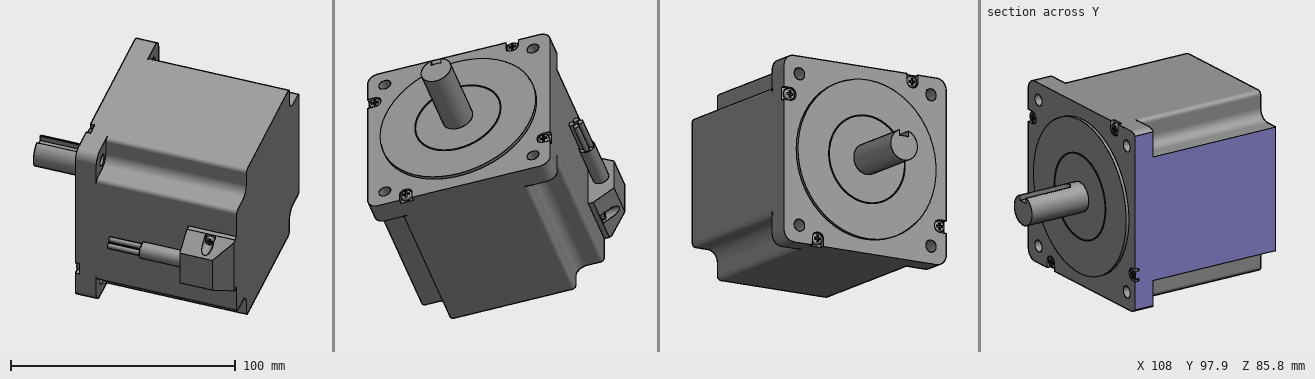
import cadquery as cq
import math


body_side = 85.8
half_side = body_side / 2
body_length = 75.9
flange_thickness = 9.8
flange_corner_radius = 5.1
bolt_offset = 34.8
bolt_hole_diameter = 5.5
corner_notch = 13.3
notch_edge_radius = 2.0

pilot_diameter = 73.0
pilot_height = 1.5
groove_outer_diameter = 40.4
groove_width = 0.3
groove_depth = 0.2
shaft_diameter = 14.0
shaft_reach = 32.1
keyway_width = 4.6
keyway_length = 25.2
keyway_floor = 4.1

flange_screw_offset = 25.0
flange_screw_inset = 3.3
flange_pocket_width = 5.8
flange_pocket_depth = 1.9
flange_head_diameter = 5.2
flange_head_height = 1.7

box_length = 22.6
box_height = 12.1
box_width = 29.8
box_top_width = 17.5
box_base_height = 2.4
box_bevel_length = 7.2
box_bevel_height = 8.5
box_screw_rear_inset = 11.3
box_screw_z = 11.9
box_pocket_width = 4.6
box_head_diameter = 4.3
box_head_height = 1.5

cable_diameter = 7.5
cable_length = 20.0
cable_height = 5.9
wire_length = 15.1
wire_diameter = 2.5
wire_offset = 2.0
wire_count = 4

recess_span_ratio = 0.6
recess_width_ratio = 0.16
recess_depth_ratio = 0.5
head_rounding_ratio = 0.3


def rod(diameter, x_start, x_end, y=0, z=0):
    """Cylinder along X."""
    return (
        cq.Workplane("YZ", origin=(x_start, y, z))
        .circle(diameter / 2)
        .extrude(x_end - x_start)
    )


def pan_head(diameter, height):
    """Rounded screw head with a cross recess, standing on XY and facing +Z."""
    head = cq.Workplane("XY").circle(diameter / 2).extrude(height)
    head = head.faces(">Z").edges().fillet(head_rounding_ratio * height)
    span = recess_span_ratio * diameter
    width = recess_width_ratio * diameter
    recess_floor = height * (1 - recess_depth_ratio)
    bar = cq.Workplane("XY", origin=(0, 0, recess_floor)).rect(span, width).extrude(height)
    cross = bar.union(bar.rotate((0, 0, 0), (0, 0, 1), 90))
    return head.cut(cross)


def open_pocket(width, inset, depth):
    """Slot tool on XY, rounded about the origin and open past Y = inset."""
    slot = cq.Workplane("XY").circle(width / 2).extrude(depth)
    channel = cq.Workplane("XY").rect(width, inset).extrude(depth).translate((0, inset / 2, 0))
    return slot.union(channel)


def make_housing():
    """Flange plus a body with four notched, rounded corners."""
    flange = cq.Workplane("YZ").rect(body_side, body_side).extrude(flange_thickness)
    flange = flange.edges("|X").fillet(flange_corner_radius)

    body = (
        cq.Workplane("YZ", origin=(flange_thickness, 0, 0))
        .rect(body_side, body_side)
        .extrude(body_length - flange_thickness)
    )
    notches = (
        cq.Workplane("YZ", origin=(flange_thickness, 0, 0))
        .rect(body_side, body_side, forConstruction=True)
        .vertices()
        .rect(2 * corner_notch, 2 * corner_notch)
        .extrude(body_length - flange_thickness)
    )
    body = body.cut(notches)

    inner = half_side - corner_notch
    notch_root_radius = bolt_offset - inner
    root_reach = inner + notch_edge_radius
    roots = cq.selectors.BoxSelector(
        (0, -root_reach, -root_reach), (body_length, root_reach, root_reach)
    )
    outer_edges = body.edges("|X").edges(cq.selectors.InverseSelector(roots))
    body = outer_edges.fillet(notch_edge_radius)
    body = body.edges("|X").edges(roots).fillet(notch_root_radius)

    bolt_holes = (
        cq.Workplane("YZ")
        .rect(2 * bolt_offset, 2 * bolt_offset, forConstruction=True)
        .vertices()
        .circle(bolt_hole_diameter / 2)
        .extrude(flange_thickness)
    )
    return flange.union(body).cut(bolt_holes)


def add_flange_screws(motor):
    """One sunk screw in each flange side, repeated every quarter turn."""
    pocket = open_pocket(flange_pocket_width, flange_screw_inset, flange_pocket_depth)
    pocket = pocket.rotate((0, 0, 0), (0, 0, 1), 180)
    head = pan_head(flange_head_diameter, flange_head_height)
    screw_plane = cq.Plane(
        origin=(flange_pocket_depth, -flange_screw_offset, half_side - flange_screw_inset),
        xDir=(0, 1, 0),
        normal=(-1, 0, 0),
    )
    seat = cq.Location(screw_plane)
    placed_pocket = cq.Workplane(pocket.val().located(seat))
    placed_head = cq.Workplane(head.val().located(seat))
    for quarter in range(4):
        turn = 90 * quarter
        motor = motor.cut(placed_pocket.rotate((0, 0, 0), (1, 0, 0), turn))
        motor = motor.union(placed_head.rotate((0, 0, 0), (1, 0, 0), turn))
    return motor


def make_shaft_end():
    """Pilot with a ring groove, and the shaft with its open keyway."""
    pilot = rod(pilot_diameter, -pilot_height, 0)
    groove_floor = groove_depth - pilot_height
    groove_inner_diameter = groove_outer_diameter - 2 * groove_width
    groove = rod(groove_outer_diameter, -pilot_height, groove_floor)
    groove = groove.cut(rod(groove_inner_diameter, -pilot_height, groove_floor))
    shaft = rod(shaft_diameter, -shaft_reach, 0)

    keyway_straight = keyway_length - keyway_width / 2
    keyway = (
        open_pocket(keyway_width, keyway_straight, shaft_diameter)
        .rotate((0, 0, 0), (0, 0, 1), 90)
        .translate((keyway_straight - shaft_reach, 0, keyway_floor))
    )
    return pilot.cut(groove).union(shaft.cut(keyway))


def make_cable_box():
    """Bevelled box with two screws sunk into its sloping sides."""
    box_start = body_length - box_length
    half_width = box_width / 2
    half_top = box_top_width / 2
    box = (
        cq.Workplane("YZ", origin=(box_start, -half_side, 0))
        .polyline([
            (0, -half_width),
            (-box_base_height, -half_width),
            (-box_height, -half_top),
            (-box_height, half_top),
            (-box_base_height, half_width),
            (0, half_width),
        ])
        .close()
        .extrude(box_length)
    )
    box_face = -half_side - box_height
    rear_bevel = (
        cq.Workplane("XY", origin=(0, 0, -half_width))
        .polyline([
            (body_length - box_bevel_length, box_face),
            (body_length, box_face),
            (body_length, box_face + box_bevel_height),
        ])
        .close()
        .extrude(box_width)
    )
    box = box.cut(rear_bevel)

    pocket = open_pocket(box_pocket_width, half_width - box_screw_z, box_height)
    head = pan_head(box_head_diameter, box_head_height)
    screw_x = body_length - box_screw_rear_inset
    floor_y = -half_side - box_base_height
    for side in (1, -1):
        screw_plane = cq.Plane(
            origin=(screw_x, floor_y, side * box_screw_z),
            xDir=(side, 0, 0),
            normal=(0, -1, 0),
        )
        seat = cq.Location(screw_plane)
        box = box.cut(cq.Workplane(pocket.val().located(seat)))
        box = box.union(cq.Workplane(head.val().located(seat)))
    return box


def make_cable():
    """Round cable leaving the box toward -X, ending in bare wires."""
    box_start = body_length - box_length
    cable_start = box_start - cable_length
    cable_y = -half_side - cable_height
    cable = rod(cable_diameter, cable_start, box_start, cable_y)
    for index in range(wire_count):
        angle = 2 * math.pi * index / wire_count
        wire_y = cable_y + wire_offset * math.cos(angle)
        wire_z = wire_offset * math.sin(angle)
        wire = rod(wire_diameter, cable_start - wire_length, cable_start, wire_y, wire_z)
        cable = cable.union(wire)
    return cable


motor = make_housing()
motor = add_flange_screws(motor)
result = motor.union(make_shaft_end()).union(make_cable_box()).union(make_cable())